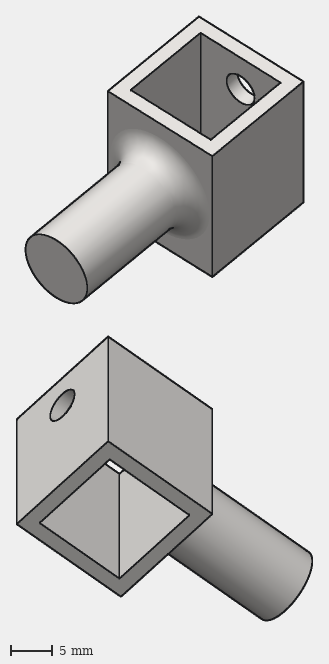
import cadquery as cq

sleeve_width = 16.9
sleeve_height = 21.0
wall = 2.0

total_length = 36.1
shank_diameter = 10.0
blend_radius = 3.0

hole_diameter = 4.5
hole_depth_below_rim = 5.5

bore_width = sleeve_width - 2 * wall
shank_length = total_length - sleeve_width
shank_radius = shank_diameter / 2
front_face_y = -sleeve_width / 2
hole_z = sleeve_height / 2 - hole_depth_below_rim


def make_sleeve_block():
    return cq.Workplane("XY").box(sleeve_width, sleeve_width, sleeve_height)


def make_shank():
    """Revolve the shank with its concave blend about the Y axis."""
    blend_end_y = front_face_y - blend_radius
    tip_y = front_face_y - shank_length
    flare_radius = shank_radius + blend_radius
    arc_offset = blend_radius * (1 - 0.5 ** 0.5)
    profile = (
        cq.Workplane("XY")
        .moveTo(0, front_face_y)
        .lineTo(flare_radius, front_face_y)
        .threePointArc(
            (shank_radius + arc_offset, front_face_y - arc_offset),
            (shank_radius, blend_end_y),
        )
        .lineTo(shank_radius, tip_y)
        .lineTo(0, tip_y)
        .close()
    )
    return profile.revolve(360, (0, 0, 0), (0, 1, 0))


def make_bore():
    return cq.Workplane("XY").box(bore_width, bore_width, sleeve_height)


def make_wall_hole():
    """Cylinder from the sleeve axis out through the +Y wall."""
    hole_plane = cq.Workplane("XZ").center(0, hole_z)
    return hole_plane.circle(hole_diameter / 2).extrude(-sleeve_width / 2)


result = make_sleeve_block().union(make_shank()).cut(make_bore()).cut(make_wall_hole())